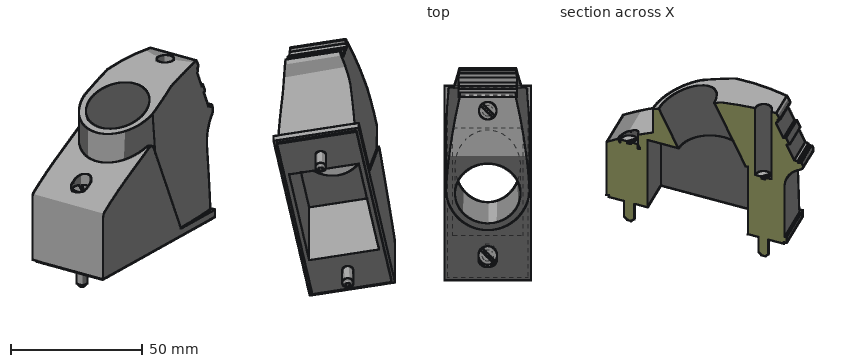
import cadquery as cq
import math


WIDTH = 33.0
COVER_LENGTH = 74.0
LEAN = 24.5
SIN = math.sin(math.radians(LEAN))
COS = math.cos(math.radians(LEAN))

PLATE_HEIGHT = 3.1
COVER_STEP_Y = 51.4
COVER_PEAK_Y = 32.35
COVER_PEAK_Z = PLATE_HEIGHT + (COVER_STEP_Y - COVER_PEAK_Y) / SIN * COS
COVER_BEND = (14.85, 35.95)
COVER_NOSE_Z = 27.0
COVER_BULGE = 0.3
COVER_PEAK_ROUND = 2.2
COVER_NOSE_ROUND = 2.0

GASKET_INSET = 1.1
GASKET_HEIGHT = 0.85

HOOD_BACK_Y = 73.3
HOOD_TOP = (69.8, 64.8)
HOOD_RIDGE = (47.2, 62.8)
HOOD_FRONT_Y = 33.5
HOOD_LEAN_Z = 40.0
HOOD_HALF_WIDTH = 15.97
HOOD_SIDE_RADIUS = 172.0
TAPER_START = 48.0
TAPER_END = 95.0

GROOVE_OUT = 88.2
STEP_OUT = 89.4
CREST_OUT = 90.65
CREST_TOP = 28.6
CREST_BASE = 26.8
UPPER_STEP_TOP = 26.6
UPPER_STEP_BASE = 26.0
UPPER_GROOVE_TOP = 25.3
MIDDLE_STEP_TOP = 18.1
MIDDLE_STEP_BASE = 14.75
LOWER_GROOVE_BASE = 7.4
LOWER_STEP_TOP = 6.7
LIP_TOP = 5.9
LIP_TIP = (80.83, 41.2)
LIP_BASE = (79.8, 39.2)
HOLLOW_MIDDLE = (75.9, 36.0)
HOLLOW_END_Z = 28.0

ENTRY_RADIUS = 15.97
ENTRY_Y = 35.05
BORE_RADIUS = 12.45
BORE_Y = 33.0

CAVITY_FRONT = 17.0
CAVITY_BACK = 58.0
CAVITY_HEIGHT = 33.4
WALL = 3.0

SCREW_LENGTH = 40.3
SLOT_WIDTH = 1.0
SLOT_DEPTH = 1.0
SLOT_ANGLE = -45.0
TIP_HEIGHT = 1.35
POINT_HEIGHT = 0.6
CONE_RADIUS = 1.3
POINT_RADIUS = 0.85
FRONT_SCREW = {"y": 9.45, "end_z": -10.07, "shank": 4.3, "hole": 7.1}
REAR_SCREW = {"y": 64.5, "end_z": -9.75, "shank": 4.1, "hole": 6.65}
RELIEF_Y = 8.1
RELIEF_Z = 32.0
RELIEF_DEPTH = 2.3

TOO_HIGH = 80.0


def leaning(out, up):
    """(y, z) of a point given along the slope direction and along the leaning axis."""
    return (out * COS - up * SIN, out * SIN + up * COS)


def slope_z(y):
    """Height of the flat slope through the ridge of the hood."""
    return HOOD_RIDGE[1] - (HOOD_RIDGE[0] - y) * SIN / COS


def side_plane(x):
    """Plane whose local axes are Y and Z, facing +X."""
    return cq.Workplane("YZ", origin=(x, 0, 0))


def make_cover():
    middle_y = COVER_BEND[0] / 2
    middle_z = (COVER_BEND[1] + COVER_NOSE_Z) / 2 + COVER_BULGE
    cover = (
        side_plane(-WIDTH / 2)
        .moveTo(0, 0)
        .lineTo(COVER_LENGTH, 0)
        .lineTo(COVER_LENGTH, PLATE_HEIGHT)
        .lineTo(COVER_STEP_Y, PLATE_HEIGHT)
        .lineTo(COVER_PEAK_Y, COVER_PEAK_Z)
        .lineTo(*COVER_BEND)
        .threePointArc((middle_y, middle_z), (0, COVER_NOSE_Z))
        .close()
        .extrude(WIDTH)
    )
    peak = cq.NearestToPointSelector((0, COVER_PEAK_Y, COVER_PEAK_Z))
    cover = cover.edges(peak).fillet(COVER_PEAK_ROUND)
    nose = cq.NearestToPointSelector((0, 0, COVER_NOSE_Z))
    return cover.edges(nose).fillet(COVER_NOSE_ROUND)


def make_gasket():
    outline = cq.Workplane("XY", origin=(0, COVER_LENGTH / 2, -GASKET_HEIGHT)).rect(
        WIDTH - 2 * GASKET_INSET, COVER_LENGTH - 2 * GASKET_INSET)
    return outline.extrude(GASKET_HEIGHT)


def make_hood_profile():
    """Side outline of the hood as a slab as wide as the cover."""
    middle_y = (HOOD_TOP[0] + HOOD_RIDGE[0]) / 2
    quarter_drop = (HOOD_TOP[1] - HOOD_RIDGE[1]) / 4
    return (
        side_plane(-WIDTH / 2)
        .moveTo(ENTRY_Y, PLATE_HEIGHT)
        .lineTo(ENTRY_Y, HOOD_LEAN_Z)
        .lineTo(HOOD_FRONT_Y, slope_z(HOOD_FRONT_Y))
        .lineTo(*HOOD_RIDGE)
        .threePointArc((middle_y, HOOD_TOP[1] - quarter_drop), HOOD_TOP)
        .lineTo(*leaning(CREST_OUT, CREST_TOP))
        .lineTo(*leaning(CREST_OUT, CREST_BASE))
        .lineTo(*leaning(STEP_OUT, UPPER_STEP_TOP))
        .lineTo(*leaning(STEP_OUT, UPPER_STEP_BASE))
        .lineTo(*leaning(GROOVE_OUT, UPPER_GROOVE_TOP))
        .lineTo(*leaning(GROOVE_OUT, MIDDLE_STEP_TOP))
        .lineTo(*leaning(STEP_OUT, MIDDLE_STEP_TOP))
        .lineTo(*leaning(STEP_OUT, MIDDLE_STEP_BASE))
        .lineTo(*leaning(GROOVE_OUT, MIDDLE_STEP_BASE))
        .lineTo(*leaning(GROOVE_OUT, LOWER_GROOVE_BASE))
        .lineTo(*leaning(STEP_OUT, LOWER_STEP_TOP))
        .lineTo(*leaning(STEP_OUT, LIP_TOP))
        .lineTo(*leaning(CREST_OUT, LIP_TOP))
        .threePointArc(LIP_TIP, LIP_BASE)
        .threePointArc(HOLLOW_MIDDLE, (HOOD_BACK_Y, HOLLOW_END_Z))
        .lineTo(HOOD_BACK_Y, PLATE_HEIGHT)
        .close()
        .extrude(WIDTH)
    )


def make_hood_taper():
    """Prism along the leaning axis whose sides curve in towards the back."""
    def half_width(out):
        run = out - TAPER_START
        return HOOD_HALF_WIDTH - HOOD_SIDE_RADIUS + math.sqrt(HOOD_SIDE_RADIUS**2 - run**2)

    middle = (TAPER_START + TAPER_END) / 2
    slope = cq.Plane(origin=(0, 0, 0), xDir=(1, 0, 0), normal=(0, -SIN, COS))
    return (
        cq.Workplane(slope)
        .moveTo(-HOOD_HALF_WIDTH, 0)
        .lineTo(HOOD_HALF_WIDTH, 0)
        .lineTo(HOOD_HALF_WIDTH, TAPER_START)
        .threePointArc((half_width(middle), middle), (half_width(TAPER_END), TAPER_END))
        .lineTo(-half_width(TAPER_END), TAPER_END)
        .threePointArc((-half_width(middle), middle), (-HOOD_HALF_WIDTH, TAPER_START))
        .close()
        .extrude(TOO_HIGH, both=True)
    )


def make_entry():
    """Front part of an upright round collar, its top cut along the slope; the hood is behind it."""
    front = ENTRY_Y - ENTRY_RADIUS
    outline = [
        (front, 0),
        (ENTRY_Y, 0),
        (ENTRY_Y, HOOD_LEAN_Z),
        (HOOD_FRONT_Y, slope_z(HOOD_FRONT_Y)),
        (front, slope_z(front)),
    ]
    below_slope = side_plane(-WIDTH / 2).polyline(outline).close().extrude(WIDTH)
    collar = cq.Workplane("XY").center(0, ENTRY_Y).circle(ENTRY_RADIUS).extrude(TOO_HIGH)
    return collar.intersect(below_slope)


def make_bore():
    """Cable bore square to the slope, ending level with the cavity ceiling."""
    slope = cq.Plane(origin=(0, BORE_Y, slope_z(BORE_Y)), xDir=(1, 0, 0), normal=(0, -SIN, COS))
    bore = cq.Workplane(slope).circle(BORE_RADIUS).extrude(TOO_HIGH, both=True)
    ceiling = cq.Workplane("XY", origin=(0, 0, CAVITY_HEIGHT))
    above_cavity = ceiling.rect(2 * WIDTH, 4 * COVER_LENGTH).extrude(TOO_HIGH)
    return bore.intersect(above_cavity)


def make_cavity():
    middle_y = (CAVITY_FRONT + CAVITY_BACK) / 2
    outline = cq.Workplane("XY", origin=(0, middle_y, -GASKET_HEIGHT)).rect(
        WIDTH - 2 * WALL, CAVITY_BACK - CAVITY_FRONT)
    return outline.extrude(CAVITY_HEIGHT + GASKET_HEIGHT)


def head_z(screw):
    return screw["end_z"] + SCREW_LENGTH


def make_screw_hole(screw):
    """Access hole down to the screw head, with the driver slot in the head."""
    top = cq.Workplane("XY", origin=(0, screw["y"], head_z(screw)))
    hole = top.circle(screw["hole"] / 2).extrude(TOO_HIGH)
    turned = top.transformed(rotate=(0, 0, SLOT_ANGLE))
    slot = turned.rect(screw["hole"], SLOT_WIDTH).extrude(-SLOT_DEPTH)
    head = top.circle(screw["hole"] / 2).extrude(-SLOT_DEPTH)
    return hole.union(slot.intersect(head))


def make_front_relief():
    """Leaning cut that opens the front screw hole towards the front, clear of the screw head."""
    head_radius = FRONT_SCREW["hole"] / 2
    floor_z = head_z(FRONT_SCREW) - RELIEF_DEPTH
    lean = cq.Plane(origin=(0, RELIEF_Y, RELIEF_Z), xDir=(1, 0, 0), normal=(0, -SIN, COS))
    cut = cq.Workplane(lean).circle(head_radius).extrude(WIDTH / 2, both=True)
    floor = cq.Workplane("XY", origin=(0, FRONT_SCREW["y"], floor_z))
    above_floor = floor.rect(WIDTH, WIDTH).extrude(TOO_HIGH)
    head = floor.circle(head_radius).extrude(RELIEF_DEPTH)
    return cut.intersect(above_floor).cut(head)


def make_shank(screw):
    """Screw end below the cover: shank, blunt cone and small point."""
    radius = screw["shank"] / 2
    end_z = screw["end_z"]
    profile = [
        (0, 0),
        (radius, 0),
        (radius, end_z + TIP_HEIGHT),
        (CONE_RADIUS, end_z + POINT_HEIGHT),
        (POINT_RADIUS, end_z),
        (0, end_z),
    ]
    shank = cq.Workplane("XZ").polyline(profile).close().revolve(360, (0, 0), (0, 1))
    return shank.translate((0, screw["y"], 0))


hood = make_hood_profile().intersect(make_hood_taper())
body = make_cover().union(make_gasket()).union(hood).union(make_entry())
body = body.cut(make_bore()).cut(make_cavity())
for screw in (FRONT_SCREW, REAR_SCREW):
    body = body.cut(make_screw_hole(screw)).union(make_shank(screw))
body = body.cut(make_front_relief())

result = body